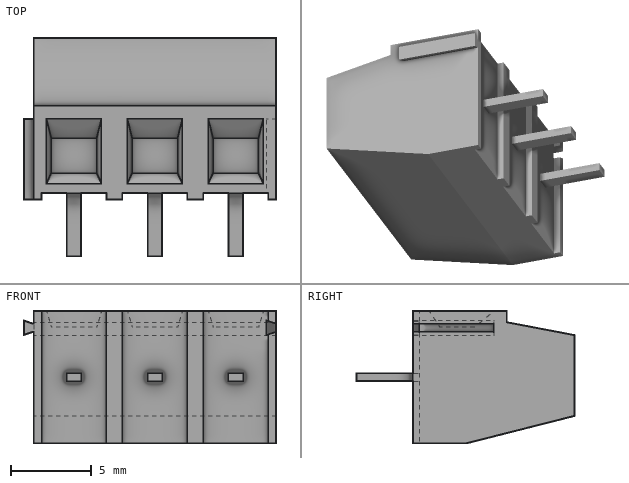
import cadquery as cq


pole_count = 3
pitch = 5.0
housing_length = pole_count * pitch
housing_depth = 10.0
housing_height = 8.2

ledge_depth = 5.8
step_drop = 0.7
back_top_drop = 1.5
back_bottom_height = 1.7
base_depth = 3.3

rib_width = 1.0
recess_depth = 0.4

pocket_width = 3.4
pocket_front = 1.0
pocket_back = 5.0
pocket_floor_width = 2.8
pocket_floor_front = 1.65
pocket_floor_back = 3.8
pocket_depth = 1.0

pin_width = 0.9
pin_thickness = 0.5
pin_reach = 3.5
pin_height = housing_height / 2

dovetail_projection = 0.6
dovetail_length = 5.0
dovetail_wide = 0.9
dovetail_neck = 0.5
dovetail_top_drop = 0.6
dovetail_height = housing_height - dovetail_top_drop - dovetail_wide / 2

pole_centers = [(index + 0.5) * pitch for index in range(pole_count)]


def make_housing():
    """Side profile in the YZ plane, extruded along X."""
    return (
        cq.Workplane("YZ")
        .polyline([
            (0, 0),
            (base_depth, 0),
            (housing_depth, back_bottom_height),
            (housing_depth, housing_height - back_top_drop),
            (ledge_depth, housing_height - step_drop),
            (ledge_depth, housing_height),
            (0, housing_height),
        ])
        .close()
        .extrude(housing_length)
    )


def make_recess(center_x):
    """Full-height shallow recess in the front of one pole."""
    width = pitch - rib_width
    return (
        cq.Workplane("XY", origin=(center_x, 0, 0))
        .box(width, recess_depth, housing_height, centered=(True, False, False))
    )


def make_pocket(center_x):
    """Pocket tapering from its opening to a smaller, off-centre floor."""
    opening_length = pocket_back - pocket_front
    floor_length = pocket_floor_back - pocket_floor_front
    opening_center = (pocket_front + pocket_back) / 2
    floor_center = (pocket_floor_front + pocket_floor_back) / 2
    return (
        cq.Workplane("XY", origin=(center_x, opening_center, housing_height))
        .rect(pocket_width, opening_length)
        .workplane(offset=-pocket_depth)
        .center(0, floor_center - opening_center)
        .rect(pocket_floor_width, floor_length)
        .loft(ruled=True)
    )


def make_pin(center_x):
    """Flat pin running forward from the recess face."""
    return (
        cq.Workplane("XZ", origin=(center_x, recess_depth, pin_height))
        .rect(pin_width, pin_thickness)
        .extrude(recess_depth + pin_reach)
    )


def make_dovetail(root_x):
    """Dovetail bar with its neck at root_x, widening toward -X and running back from the front."""
    tip_x = root_x - dovetail_projection
    return (
        cq.Workplane("XZ")
        .polyline([
            (root_x, dovetail_height - dovetail_neck / 2),
            (root_x, dovetail_height + dovetail_neck / 2),
            (tip_x, dovetail_height + dovetail_wide / 2),
            (tip_x, dovetail_height - dovetail_wide / 2),
        ])
        .close()
        .extrude(-dovetail_length)
    )


result = make_housing()
for pole_center in pole_centers:
    result = result.cut(make_recess(pole_center))
    result = result.cut(make_pocket(pole_center))
    result = result.union(make_pin(pole_center))

result = result.union(make_dovetail(0))
result = result.cut(make_dovetail(housing_length))